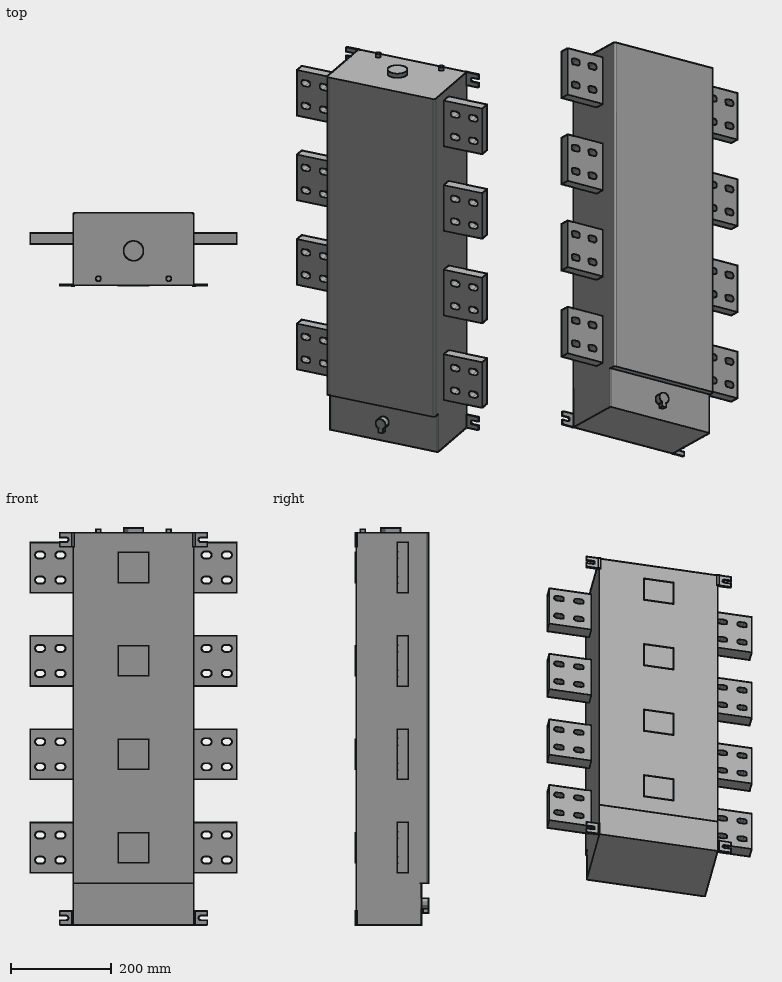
import cadquery as cq

OVERALL_WIDTH = 410.0
OVERALL_DEPTH = 146.0
OVERALL_HEIGHT = 789.0

CAP_HEIGHT = 9.5
BODY_WIDTH = 240.0
BODY_HEIGHT = OVERALL_HEIGHT - CAP_HEIGHT
BODY_FRONT = 1.5
BACK_EDGE_RADIUS = 5.0
STEP_HEIGHT = 83.0
STEP_DEPTH = 14.0
STEP_BACK = OVERALL_DEPTH - STEP_DEPTH
STEP_EDGE_RADIUS = 2.0
LOWER_COVER_SETBACK = 0.4

POLE_COUNT = 4
POLE_PITCH = 185.5
FIRST_POLE_Z = 154.0
BAR_HEIGHT = 100.0
BAR_THICKNESS = 22.0
BAR_CENTER_Y = 95.0
BAR_SLOT_LENGTH = 20.0
BAR_SLOT_WIDTH = 13.5
BAR_SLOT_EDGE = 20.0
BAR_SLOT_PITCH_X = 40.0
BAR_SLOT_PITCH_Z = 50.0

PLATE_SIZE = 60.0
PLATE_RAISE = 1.2

EAR_SPAN = 293.5
EAR_HEIGHT = 28.5
EAR_BACK = 4.0
EAR_SETBACK = 1.0
EAR_RIB_WIDTH = 2.0
UPPER_EAR_OVERLAP = 2.0
EAR_SLOT_WIDTH = 9.0
EAR_SLOT_DEPTH = 17.0
EAR_CORNER_RADIUS = 2.0

CAP_DIAMETER = 39.5
CAP_Y = 70.0
PIN_SPACING = 140.0
PIN_Y = 15.0
PIN_HEIGHT = 7.0
PIN_DIAMETER = 10.0

KNOB_DIAMETER = 22.0
KNOB_Z = 43.0
LEVER_WIDTH = 9.5
LEVER_REACH = 19.0
LEVER_GAP = 3.0

SIDES = (-1, 1)
POLE_HEIGHTS = [FIRST_POLE_Z + i * POLE_PITCH for i in range(POLE_COUNT)]


def block(x_min, x_max, y_min, y_max, z_min, z_max):
    size = (x_max - x_min, y_max - y_min, z_max - z_min)
    return cq.Workplane("XY").box(*size, centered=False).translate((x_min, y_min, z_min))


def housing():
    half = BODY_WIDTH / 2
    lower_front = BODY_FRONT + LOWER_COVER_SETBACK
    upper = block(-half, half, BODY_FRONT, OVERALL_DEPTH, STEP_HEIGHT, BODY_HEIGHT)
    lower = block(-half, half, lower_front, STEP_BACK, 0, STEP_HEIGHT)
    upper = upper.edges("|Z and >Y").fillet(BACK_EDGE_RADIUS)
    lower = lower.edges("|Z and >Y").fillet(STEP_EDGE_RADIUS)
    return upper.union(lower)


def busbar(z):
    bar = cq.Workplane("XY").box(OVERALL_WIDTH, BAR_THICKNESS, BAR_HEIGHT)
    outer_x = OVERALL_WIDTH / 2 - BAR_SLOT_EDGE
    slot_centers = [
        (side * x, end * BAR_SLOT_PITCH_Z / 2)
        for side in SIDES
        for x in (outer_x, outer_x - BAR_SLOT_PITCH_X)
        for end in SIDES
    ]
    slots = (
        cq.Workplane("XZ")
        .pushPoints(slot_centers)
        .slot2D(BAR_SLOT_LENGTH, BAR_SLOT_WIDTH)
        .extrude(BAR_THICKNESS, both=True)
    )
    return bar.cut(slots).translate((0, BAR_CENTER_Y, z))


def front_plate(z):
    half = PLATE_SIZE / 2
    return block(-half, half, BODY_FRONT - PLATE_RAISE, BODY_FRONT, z - half, z + half)


def mounting_ear(side, z_min, overlap):
    outer = EAR_SPAN / 2
    body_edge = BODY_WIDTH / 2
    z_max = z_min + EAR_HEIGHT
    z_mid = z_min + EAR_HEIGHT / 2
    plate = block(body_edge, outer, EAR_SETBACK, EAR_BACK, z_min, z_max)
    plate = plate.edges("|Y and >X").fillet(EAR_CORNER_RADIUS)
    slot = (
        cq.Workplane("XZ")
        .center(outer, z_mid)
        .slot2D(2 * EAR_SLOT_DEPTH, EAR_SLOT_WIDTH)
        .extrude(-EAR_BACK)
    )
    rib = block(body_edge - overlap, body_edge + EAR_RIB_WIDTH, 0, EAR_BACK, z_min, z_max)
    ear = plate.cut(slot).union(rib)
    return ear if side > 0 else ear.mirror("YZ")


def top_cap():
    cap = cq.Workplane("XY").circle(CAP_DIAMETER / 2).extrude(CAP_HEIGHT)
    return cap.translate((0, CAP_Y, BODY_HEIGHT))


def top_pin(side):
    pin = cq.Workplane("XY").circle(PIN_DIAMETER / 2).extrude(PIN_HEIGHT)
    return pin.translate((side * PIN_SPACING / 2, PIN_Y, BODY_HEIGHT))


def back_knob():
    dial = cq.Workplane("XZ").circle(KNOB_DIAMETER / 2).extrude(-STEP_DEPTH)
    half = LEVER_WIDTH / 2
    lever = block(-half, half, LEVER_GAP, STEP_DEPTH, -LEVER_REACH, 0)
    return dial.union(lever).translate((0, STEP_BACK, KNOB_Z))


result = housing()
for pole_z in POLE_HEIGHTS:
    result = result.union(busbar(pole_z))
    result = result.union(front_plate(pole_z))
for side in SIDES:
    result = result.union(mounting_ear(side, 0, 0))
    result = result.union(mounting_ear(side, BODY_HEIGHT - EAR_HEIGHT, UPPER_EAR_OVERLAP))
    result = result.union(top_pin(side))
result = result.union(top_cap())
result = result.union(back_knob())